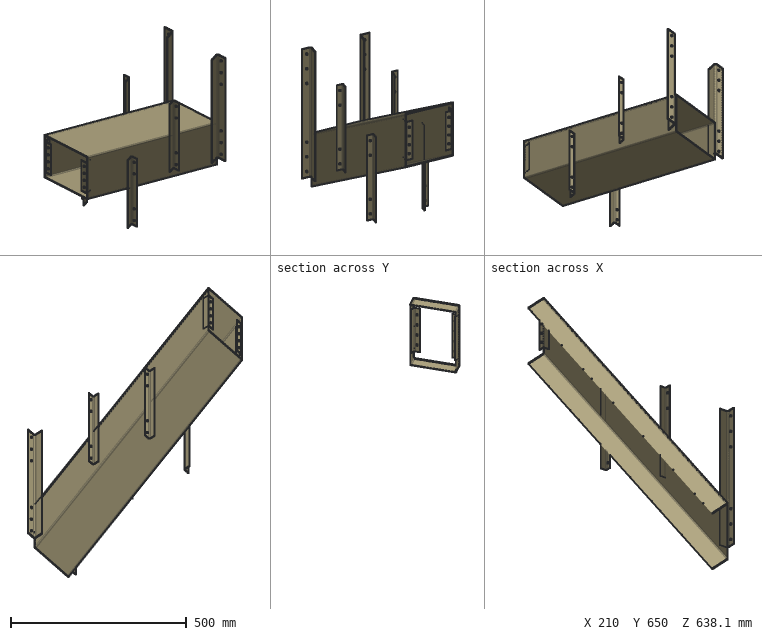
import cadquery as cq
import math

duct_length = 650.0
duct_side = 150.0
duct_drop = 455.0
duct_wall = 3.0
duct_edge_radius = 3.05
bore_corner_radius = 2.5
duct_slope = math.degrees(math.atan2(duct_drop, duct_length))
duct_half_width = duct_side / 2
end_height = duct_side / math.cos(math.radians(duct_slope))

wall_angle_leg = 30.0
wall_angle_thickness = 3.0
wall_angle_bend = 3.0
wall_angle_height = 440.0
wall_angle_bottom = 37.0
wall_hole_inset = wall_angle_leg / 2
wall_holes_per_end = 3

side_angle_leg = 20.0
side_angle_thickness = 2.0
side_angle_bend = 2.0
side_angle_height = 290.0
side_holes_per_end = 2
low_pair_back = 430.0
low_pair_bottom = 193.0
high_pair_back = 220.0
high_pair_bottom = 149.0

mouth_angle_height = 130.0
mouth_angle_bend = 1.0
mouth_angle_below_center = 3.0
mouth_angle_center = duct_drop + end_height / 2 - mouth_angle_below_center

hole_diameter = 5.0
small_hole_inset = side_angle_leg / 2
end_hole_offset = 20.0
hole_pitch = 50.0
mouth_hole_pitch = 30.0
mouth_hole_count = 4


def make_rounded_bar(side, edge_radius, length):
    """Square bar along Y, centred on the origin, with rounded long edges."""
    return (
        cq.Workplane("XZ")
        .rect(side, side)
        .extrude(length / 2, both=True)
        .edges("|Y")
        .fillet(edge_radius)
    )


def make_duct():
    """Hollow rounded tube along the slope, trimmed by upright planes at both ends."""
    overrun = duct_side
    tube_length = duct_length / math.cos(math.radians(duct_slope)) + 2 * overrun
    outer = make_rounded_bar(duct_side, duct_edge_radius, tube_length)
    bore = make_rounded_bar(duct_side - 2 * duct_wall, bore_corner_radius, tube_length)
    total_height = duct_drop + end_height
    tube = (
        outer.cut(bore)
        .rotate((0, 0, 0), (1, 0, 0), -duct_slope)
        .translate((0, duct_length / 2, total_height / 2))
    )
    trim = cq.Workplane("XY").box(duct_side, duct_length, total_height, centered=(True, False, False))
    return tube.intersect(trim)


def make_angle(leg, thickness, bend, height, hole_inset, hole_heights):
    """Bent angle with its outer corner on the Z axis, a flange along +X and a web along -Y.

    The round holes go through the flange at hole_heights above the bottom end.
    """
    angle = (
        cq.Workplane("XY")
        .polyline(
            [
                (0, 0),
                (leg, 0),
                (leg, -thickness),
                (thickness, -thickness),
                (thickness, -leg),
                (0, -leg),
            ]
        )
        .close()
        .extrude(height)
    )
    outer_corner = cq.selectors.NearestToPointSelector((0, 0, height / 2))
    angle = angle.edges(outer_corner).fillet(bend + thickness)
    inner_corner = cq.selectors.NearestToPointSelector((thickness, -thickness, height / 2))
    angle = angle.edges(inner_corner).fillet(bend)
    holes = (
        cq.Workplane("XZ")
        .pushPoints([(leg - hole_inset, z) for z in hole_heights])
        .circle(hole_diameter / 2)
        .extrude(thickness)
    )
    return angle.cut(holes)


def mirrored_pair(body):
    """The body and its mirror image across the mid-plane, as separate solids."""
    return [body.val(), body.mirror("YZ").val()]


def end_hole_heights(height, holes_per_end):
    """Hole heights for equal groups of holes at the bottom and top of an angle."""
    lower = [end_hole_offset + i * hole_pitch for i in range(holes_per_end)]
    upper = [height - z for z in lower]
    return lower + upper


def make_wall_angles():
    """Tall pair against the outside of the duct, flanges flush with its low end."""
    holes = end_hole_heights(wall_angle_height, wall_holes_per_end)
    angle = make_angle(
        wall_angle_leg, wall_angle_thickness, wall_angle_bend, wall_angle_height, wall_hole_inset, holes
    )
    return mirrored_pair(angle.translate((duct_half_width, duct_length, wall_angle_bottom)))


def make_side_angles(back, bottom):
    """Shorter pair against the outside of the duct."""
    holes = end_hole_heights(side_angle_height, side_holes_per_end)
    angle = make_angle(
        side_angle_leg, side_angle_thickness, side_angle_bend, side_angle_height, small_hole_inset, holes
    )
    return mirrored_pair(angle.translate((duct_half_width, back, bottom)))


def make_mouth_angles():
    """Flanges flush with the open end and pointing inward, webs against the side walls."""
    holes_span = (mouth_hole_count - 1) * mouth_hole_pitch
    first_hole = (mouth_angle_height - holes_span) / 2
    holes = [first_hole + i * mouth_hole_pitch for i in range(mouth_hole_count)]
    angle = make_angle(
        side_angle_leg, side_angle_thickness, mouth_angle_bend, mouth_angle_height, small_hole_inset, holes
    )
    wall_face = duct_half_width - duct_wall
    turned = angle.mirror("XZ")
    placed = turned.translate((-wall_face, 0, mouth_angle_center - mouth_angle_height / 2))
    return mirrored_pair(placed)


duct = make_duct()
wall_angles = make_wall_angles()
side_angles = []
for back, bottom in [(low_pair_back, low_pair_bottom), (high_pair_back, high_pair_bottom)]:
    side_angles += make_side_angles(back, bottom)
mouth_angles = make_mouth_angles()

result = cq.Compound.makeCompound([duct.val(), *wall_angles, *side_angles, *mouth_angles])